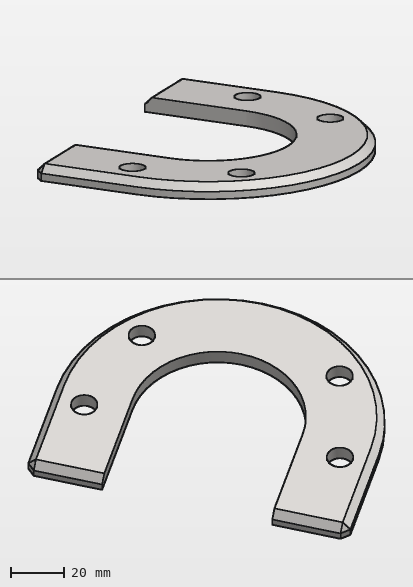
import cadquery as cq
import math

outer_radius = 63.0
inner_radius = 33.3
leg_length = 42.6
thickness = 6.0
bevel = thickness / 2
hole_diameter = 10.0
leg_hole_x = -7.7
leg_hole_y = 50.0
arc_hole_x = 32.4
arc_hole_y = 38.7

cut_margin = 1.3


def rounded_slab(radius, length, height):
    """Slab with a straight end at X = -length and a half-round end about the origin."""
    return (
        cq.Workplane("XY")
        .moveTo(-length, -radius)
        .lineTo(0, -radius)
        .threePointArc((radius, 0), (0, radius))
        .lineTo(-length, radius)
        .close()
        .extrude(height)
    )


def corner_cutter(side):
    """Diagonal prism that trims a leg corner upright below and sloped above.

    The sloped face meets the two top bevels in a triangular facet that ends
    at the corner of the top face.
    """
    diagonal_plane = cq.Plane(
        origin=(-leg_length, side * outer_radius, 0),
        xDir=(1, -side, 0),
        normal=(-side, -1, 0),
    )
    upright_depth = bevel / math.sqrt(2)
    top_depth = bevel * math.sqrt(2)
    return (
        cq.Workplane(diagonal_plane)
        .moveTo(-cut_margin, 0)
        .lineTo(upright_depth, 0)
        .lineTo(upright_depth, thickness - bevel)
        .lineTo(top_depth, thickness)
        .lineTo(-cut_margin, thickness)
        .close()
        .extrude(2 * bevel, both=True)
    )


body = rounded_slab(outer_radius, leg_length, thickness).faces(">Z").edges().chamfer(bevel)
mouth = rounded_slab(inner_radius, leg_length + cut_margin, thickness)
body = body.cut(mouth)

for side in (-1, 1):
    body = body.cut(corner_cutter(side))

hole_centres = [
    (x, side * y)
    for x, y in ((leg_hole_x, leg_hole_y), (arc_hole_x, arc_hole_y))
    for side in (-1, 1)
]
holes = cq.Workplane("XY").pushPoints(hole_centres).circle(hole_diameter / 2).extrude(thickness)
result = body.cut(holes)